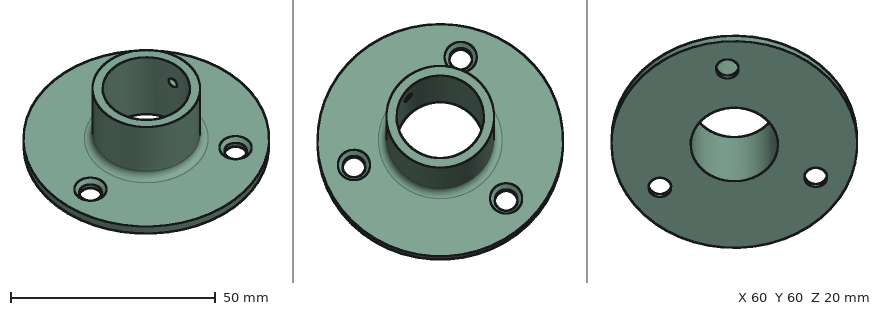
import cadquery as cq
import math

flange_diameter = 60.0
flange_thickness = 2.5

total_height = 20.0
tube_diameter = 26.3
bore_diameter = 21.3
root_fillet = 2.0

screw_count = 3
screw_circle_radius = 22.0
first_screw_angle = 29.5
screw_diameter = 5.5
countersink_diameter = 7.85
countersink_angle = 90.0

set_screw_diameter = 2.6
set_screw_height = 13.3


def make_body():
    """Flange and tube, blended by a concave fillet at the tube root."""
    flange_radius = flange_diameter / 2
    tube_radius = tube_diameter / 2
    bore_radius = bore_diameter / 2
    fillet_centre_x = tube_radius + root_fillet
    fillet_centre_z = flange_thickness + root_fillet
    fillet_offset = root_fillet * math.sqrt(0.5)
    return (
        cq.Workplane("XZ")
        .moveTo(bore_radius, 0)
        .lineTo(flange_radius, 0)
        .lineTo(flange_radius, flange_thickness)
        .lineTo(fillet_centre_x, flange_thickness)
        .threePointArc(
            (fillet_centre_x - fillet_offset, fillet_centre_z - fillet_offset),
            (tube_radius, fillet_centre_z),
        )
        .lineTo(tube_radius, total_height)
        .lineTo(bore_radius, total_height)
        .close()
        .revolve(360, (0, 0, 0), (0, 1, 0))
    )


def cut_screw_holes(body):
    """Countersunk holes, evenly spaced and opening at the flange top."""
    return (
        body.copyWorkplane(cq.Workplane("XY", origin=(0, 0, flange_thickness)))
        .polarArray(screw_circle_radius, first_screw_angle, 360, screw_count)
        .cskHole(screw_diameter, countersink_diameter, countersink_angle)
    )


def cut_set_screw_hole(body):
    """Radial hole from the tube axis out through the +Y wall only."""
    drill = (
        cq.Workplane("XZ", origin=(0, 0, set_screw_height))
        .circle(set_screw_diameter / 2)
        .extrude(-tube_diameter)
    )
    return body.cut(drill)


result = cut_set_screw_hole(cut_screw_holes(make_body()))